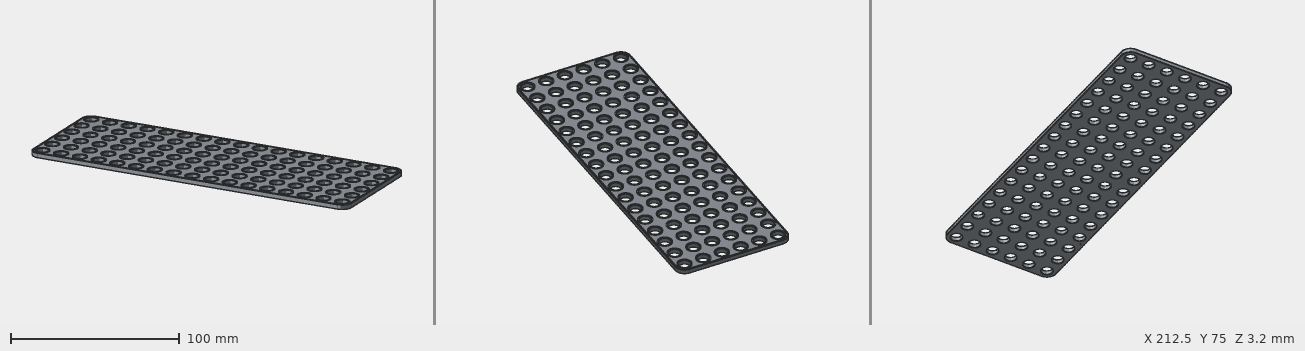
import cadquery as cq

length = 212.5
columns = 17
rows = 6
thickness = 3.2
hole_diameter = 7.0
ring_diameter = 9.1
rim_width = 0.8
recess_depth = 0.25
chamfer = 0.32

pitch = length / columns
width = rows * pitch
corner_radius = pitch / 2


def rounded_slab(inset, height):
    """Slab standing on Z = 0, with the plate's rounded outline moved inwards by `inset`."""
    slab = cq.Workplane("XY").rect(length - 2 * inset, width - 2 * inset).extrude(height)
    return slab.edges("|Z").fillet(corner_radius - inset)


def hole_grid():
    """Workplane at Z = 0 holding the centre of every hole."""
    return cq.Workplane("XY").rarray(pitch, pitch, columns, rows)


def make_plate():
    """Rounded plate with holes, chamfered along its rim and at both mouths of each hole."""
    plate = rounded_slab(0, thickness)
    plate = plate.cut(hole_grid().circle(hole_diameter / 2).extrude(thickness))
    return plate.faces("<Z or >Z").edges().chamfer(chamfer)


def make_recess():
    """Shallow cut into the top face that leaves a raised rim and a raised ring round each hole."""
    recess = rounded_slab(rim_width, recess_depth)
    recess = recess.cut(hole_grid().circle(ring_diameter / 2).extrude(recess_depth))
    return recess.translate((0, 0, thickness - recess_depth))


result = make_plate().cut(make_recess())
result = result.translate((0, 0, -thickness / 2))